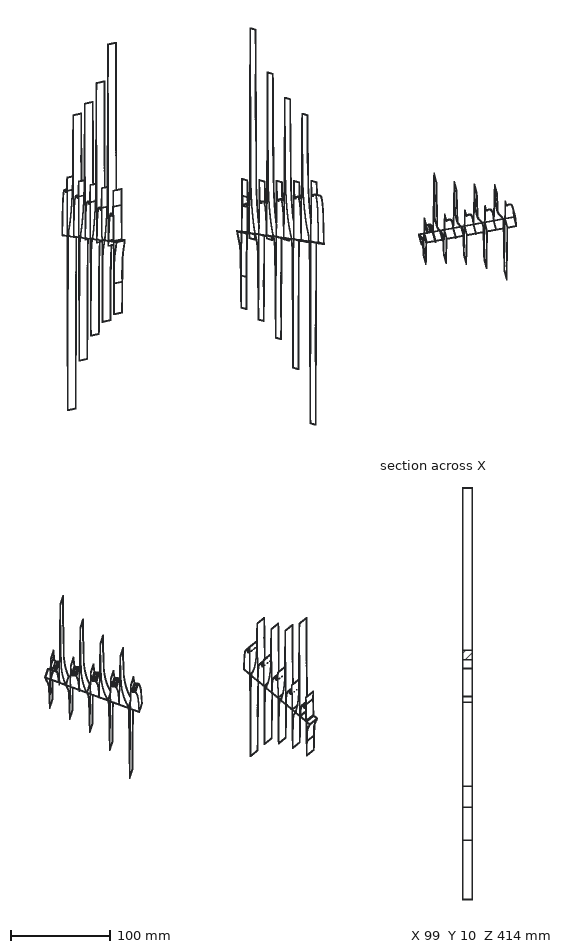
import cadquery as cq
import math

LENGTH = 99.0
THICKNESS = 10.0
HEIGHT = 414.0

STEP_COUNT = 99
ANGLE_STEP = 0.3
SWELL = 17.0
SWELL_LEAD = math.pi / 4

LOWEST_STEP = 10
HIGHEST_STEP = 83
LOWEST_Z = -220.5
HIGHEST_Z = LOWEST_Z + HEIGHT

CHORD_STRIP = 0.5
HOLLOW_FROM = 84.0
WALL = 0.5


def swell(step):
    return SWELL * math.sin(step * ANGLE_STEP + SWELL_LEAD)


LOWEST_DROP = swell(LOWEST_STEP) - LOWEST_Z
HIGHEST_DROP = swell(HIGHEST_STEP) - HIGHEST_Z
TIP_TANGENT = math.tan((HIGHEST_STEP - LOWEST_STEP) * ANGLE_STEP)
HALF_SUM = (LOWEST_DROP - HIGHEST_DROP) / (2 * TIP_TANGENT)
GAIN = HALF_SUM + math.sqrt(HALF_SUM**2 - LOWEST_DROP * HIGHEST_DROP)
LEAD = math.atan(GAIN / LOWEST_DROP) - LOWEST_STEP * ANGLE_STEP


def curve_point(step):
    x = LENGTH * step / STEP_COUNT
    return x, swell(step) - GAIN / math.tan(step * ANGLE_STEP + LEAD)


START_Z = curve_point(0)[1]
END_Z = curve_point(STEP_COUNT)[1]


def chord_z(x):
    return START_Z + (END_Z - START_Z) * x / LENGTH


def above_chord(point):
    x, z = point
    return z - chord_z(x)


def chord_crossing(start, end):
    """Point where the straight step from start to end meets the chord."""
    share = above_chord(start) / (above_chord(start) - above_chord(end))
    x = start[0] + share * (end[0] - start[0])
    return x, chord_z(x)


def lobe_outlines():
    """Split the area between curve and chord into one closed outline per lobe."""
    points = [curve_point(step) for step in range(STEP_COUNT + 1)]
    outlines = []
    outline = [points[0], points[1]]
    for start, end in zip(points[1:-2], points[2:-1]):
        if above_chord(start) * above_chord(end) < 0:
            crossing = chord_crossing(start, end)
            outlines.append(outline + [crossing])
            outline = [crossing]
        outline.append(end)
    outlines.append(outline + [points[-1]])
    return outlines


def plate(outline):
    return cq.Workplane("XZ").polyline(outline).close().extrude(-THICKNESS)


def lobe(outline):
    body = plate(outline)
    if outline[0][0] > HOLLOW_FROM:
        window = cq.Workplane("XZ").polyline(outline).close().offset2D(-WALL).extrude(-THICKNESS)
        body = body.cut(window)
    return body


def chord_strip():
    """Thin strip centred on the chord, over the full length of the part."""
    half = CHORD_STRIP / 2
    lower_edge = [(0, START_Z - half), (LENGTH, END_Z - half)]
    upper_edge = [(LENGTH, END_Z + half), (0, START_Z + half)]
    return plate(lower_edge + upper_edge)


result = chord_strip()
for lobe_outline in lobe_outlines():
    result = result.union(lobe(lobe_outline))